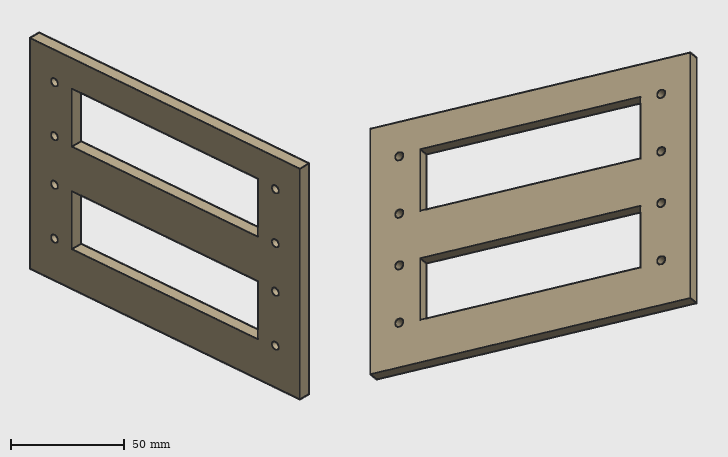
import cadquery as cq

plate_width = 160.0
plate_thickness = 6.0
plate_height = 120.0

window_width = 110.0
window_height = 30.0
window_heights = (29.1, -24.2)

hole_diameter = 4.0
hole_spacing_x = 130.9
hole_spacing_z = 28.0

plate = cq.Workplane("XZ").box(plate_width, plate_height, plate_thickness)


def window_with_holes(center_z):
    """Cutter for one window and its four screw holes, through the plate."""
    face = cq.Workplane("XZ", origin=(0, 0, center_z))
    window = face.rect(window_width, window_height).extrude(plate_thickness, both=True)
    holes = (
        face.rect(hole_spacing_x, hole_spacing_z, forConstruction=True)
        .vertices()
        .circle(hole_diameter / 2)
        .extrude(plate_thickness, both=True)
    )
    return window.add(holes).combine()


for center_z in window_heights:
    plate = plate.cut(window_with_holes(center_z))

result = plate